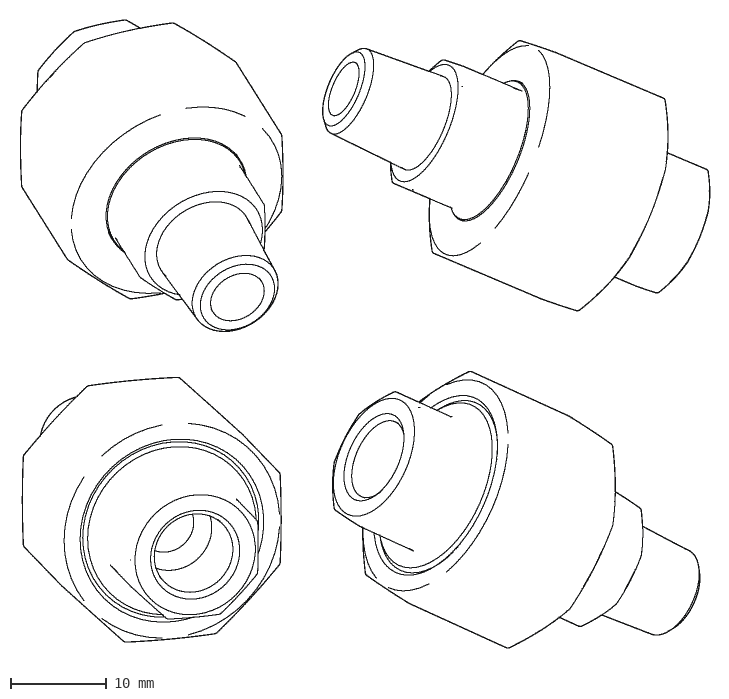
import cadquery as cq
import math


NUT_START = 8.4
NUT_END = 23.0
MALE_OCTAGON_START = 23.12
MALE_OCTAGON_END = 31.05
THREAD_START = 31.35
TOTAL_LENGTH = 41.0

OCTAGON_SIDES = 8
NUT_FLATS = 24.0
END_FLATS = 13.95
CORNER_FILLET = 0.5
BEVEL_ANGLE = 20.0
BEVEL_FILLET = 0.33
NUT_BEVEL_INSET = 0.25
END_BEVEL_INSET = 0.4

JOINT_DIAMETER = 19.2
JOINT_CHAMFER = 0.4
FLANGE_DIAMETER = 18.35
FLANGE_THICKNESS = 2.45
SHOULDER_THICKNESS = 2.45
NECK_DIAMETER = 15.5
NUT_OPENING_DIAMETER = 15.7
FEMALE_ROOT_FILLET = 0.5
MALE_ROOT_FILLET = 0.2

BORE_DIAMETER = 6.0
SOCKET_DIAMETER = 8.55
SOCKET_DEPTH = 8.2
SOCKET_CHAMFER = 0.57
SOCKET_TIP_ANGLE = 60.0

THREAD_ROOT_DIAMETER = 10.5
THREAD_END_DIAMETER = 9.6
THREAD_CHAMFER = 0.65

SHOULDER_X = NUT_END - SHOULDER_THICKNESS
JOINT_X = SHOULDER_X - FLANGE_THICKNESS


def revolved(points):
    """Solid turned about the X axis from (x, radius) points."""
    return cq.Workplane("XY").polyline(points).close().revolve(360, (0, 0, 0), (1, 0, 0))


def cylinder(diameter, start, end):
    """Round bar along the X axis."""
    return cq.Workplane("YZ", origin=(start, 0, 0)).circle(diameter / 2).extrude(end - start)


def octagon_bar(flats, start, end):
    """Octagonal bar along the X axis, with flats facing Y and Z and rounded long edges."""
    outline = cq.Workplane("YZ", origin=(start, 0, 0)).polygon(OCTAGON_SIDES, flats, circumscribed=True)
    return outline.extrude(end - start).edges("|X").fillet(CORNER_FILLET)


def bevel_corners(bar, flats, face_x, inward, inset):
    """Turn the corners of an octagonal bar down to a cone at one end; inward is the X sign into the bar."""
    face_radius = flats / 2 - inset
    outer_radius = flats
    bevel_length = (outer_radius - face_radius) * math.tan(math.radians(BEVEL_ANGLE))
    trim = revolved(
        [
            (face_x, face_radius),
            (face_x + inward * bevel_length, outer_radius),
            (face_x, outer_radius),
        ]
    )
    end_selector = "<X" if inward > 0 else ">X"
    cone = bar.cut(trim).faces("%CONE").faces(end_selector)
    return cone.edges("not %CIRCLE").fillet(BEVEL_FILLET)


def fillet_octagon_root(body, face_x, radius):
    """Round the inner corner where an end octagon rises from the round face at face_x."""
    margin = 0.05
    root_edges = [
        edge
        for edge in body.edges().vals()
        if abs(edge.Center().x - face_x) < margin
        and edge.BoundingBox().xlen < margin
        and math.hypot(edge.Center().y, edge.Center().z) > END_FLATS / 4
    ]
    return body.newObject(root_edges).fillet(radius)


def make_nut():
    """Octagonal nut: a wide bore from the left and a shoulder with a narrower opening on the right."""
    nut = octagon_bar(NUT_FLATS, NUT_START, NUT_END)
    nut = bevel_corners(nut, NUT_FLATS, NUT_START, 1, NUT_BEVEL_INSET)
    nut = bevel_corners(nut, NUT_FLATS, NUT_END, -1, NUT_BEVEL_INSET)
    bore_radius = JOINT_DIAMETER / 2
    opening_radius = NUT_OPENING_DIAMETER / 2
    bore = revolved(
        [
            (NUT_START, 0),
            (NUT_START, bore_radius + JOINT_CHAMFER),
            (NUT_START + JOINT_CHAMFER, bore_radius),
            (SHOULDER_X, bore_radius),
            (SHOULDER_X, opening_radius),
            (NUT_END, opening_radius),
            (NUT_END, 0),
        ]
    )
    return nut.cut(bore)


def make_female_end():
    """Octagon with a socket, on a round body that fills the bore of the nut."""
    octagon = octagon_bar(END_FLATS, 0, NUT_START)
    octagon = bevel_corners(octagon, END_FLATS, 0, 1, END_BEVEL_INSET)
    body = cylinder(JOINT_DIAMETER, NUT_START, JOINT_X).faces("<X").chamfer(JOINT_CHAMFER)
    female = fillet_octagon_root(octagon.union(body), NUT_START, FEMALE_ROOT_FILLET)

    socket_radius = SOCKET_DIAMETER / 2
    tip_length = socket_radius / math.tan(math.radians(SOCKET_TIP_ANGLE / 2))
    socket = revolved(
        [
            (0, 0),
            (0, socket_radius + SOCKET_CHAMFER),
            (SOCKET_CHAMFER, socket_radius),
            (SOCKET_DEPTH, socket_radius),
            (SOCKET_DEPTH + tip_length, 0),
        ]
    )
    return female.cut(socket).cut(cylinder(BORE_DIAMETER, 0, JOINT_X))


def make_male_thread():
    """Short cylinder, then a taper with a chamfered tip."""
    root_radius = THREAD_ROOT_DIAMETER / 2
    end_radius = THREAD_END_DIAMETER / 2
    return revolved(
        [
            (MALE_OCTAGON_END, 0),
            (MALE_OCTAGON_END, root_radius),
            (THREAD_START, root_radius),
            (TOTAL_LENGTH - THREAD_CHAMFER, end_radius),
            (TOTAL_LENGTH, end_radius - THREAD_CHAMFER),
            (TOTAL_LENGTH, 0),
        ]
    )


def make_male_end():
    """Flange and neck held by the nut, then an octagon and the tapered thread."""
    octagon = octagon_bar(END_FLATS, MALE_OCTAGON_START, MALE_OCTAGON_END)
    octagon = bevel_corners(octagon, END_FLATS, MALE_OCTAGON_END, -1, END_BEVEL_INSET)
    neck = cylinder(NECK_DIAMETER, JOINT_X, MALE_OCTAGON_START)
    male = fillet_octagon_root(octagon.union(neck), MALE_OCTAGON_START, MALE_ROOT_FILLET)
    flange = cylinder(FLANGE_DIAMETER, JOINT_X, SHOULDER_X)
    male = male.union(flange).union(make_male_thread())
    return male.cut(cylinder(BORE_DIAMETER, JOINT_X, TOTAL_LENGTH))


nut = make_nut()
female_end = make_female_end()
male_end = make_male_end()

result = cq.Compound.makeCompound([nut.solids().val(), female_end.solids().val(), male_end.solids().val()])